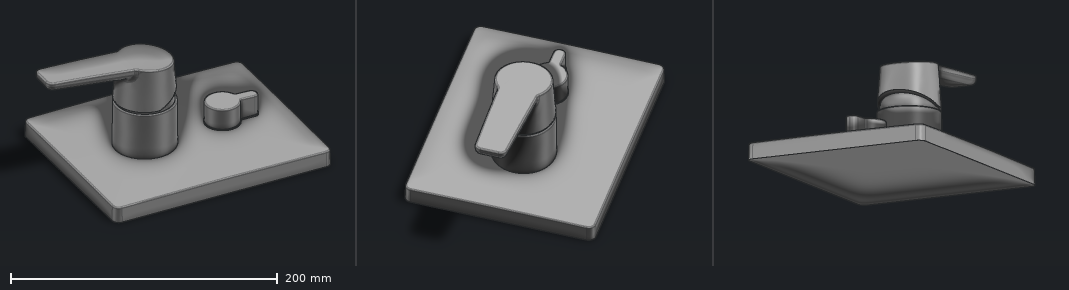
import cadquery as cq


PLATE_WIDTH = 149.9
PLATE_REAR_Y = 120.3
PLATE_FRONT_Y = -64.5
PLATE_TOP_Z = 14.2
PLATE_CROWN_RADIUS = 5204.2
PLATE_CORNER_RADIUS = 5.8
PLATE_DRAFT_ANGLE = 2.0
PLATE_EDGE_FILLET = 1.0

SLEEVE_BASE_RADIUS = 25.0
SLEEVE_TOP_RADIUS = 24.4
SLEEVE_TOP_Z = 51.8
SLEEVE_EDGE_FILLET = 0.8

BALL_RADIUS = 22.7
BALL_CENTER_Z = 51.5

HEAD_BASE_RADIUS = 24.4
HEAD_BASE_Z = 54.3
HEAD_TOP_RADIUS = 21.9
HEAD_TOP_Z = 87.5
HEAD_REAR_LIP_Y = 23.7
HEAD_REAR_LIP_Z = 64.7

OVERALL_LENGTH = 208.2
OVERALL_HEIGHT = 95.3
LEVER_TIP_Y = PLATE_REAR_Y - OVERALL_LENGTH
LEVER_ROOT_HALF_WIDTH = 15.8
LEVER_TIP_HALF_WIDTH = 12.3
LEVER_ROOT_Y = -10.5
LEVER_TIP_CORNER_RADIUS = 5.5
LEVER_ROOT_UNDERSIDE_Z = 80.8
LEVER_TIP_UNDERSIDE_Z = 88.0
LEVER_UNDERSIDE_FILLET = 4.4
LEVER_ROOT_FILLET = 4.5
TOP_REAR_Z = 85.5
TOP_MIDDLE_Y = -22.7
TOP_MIDDLE_Z = 90.5
TOP_EDGE_FILLET = 1.2

KNOB_CENTER_Y = 65.8
KNOB_RADIUS = 13.7
KNOB_TOP_Z = 32.0
KNOB_CROWN_RADIUS = 530.8
KNOB_TAB_WIDTH = 9.4
KNOB_TAB_END_Y = 95.1
KNOB_TAB_END_RADIUS = 4.4
KNOB_TAB_ROOT_FILLET = 1.7
KNOB_EDGE_FILLET = 1.0
KNOB_FOOT_RIM = 0.5
KNOB_FOOT_TOP_Z = 15.0


def make_plate():
    length = PLATE_REAR_Y - PLATE_FRONT_Y
    middle_y = (PLATE_REAR_Y + PLATE_FRONT_Y) / 2
    block = (
        cq.Workplane("XY")
        .center(0, middle_y)
        .sketch()
        .rect(PLATE_WIDTH, length)
        .vertices()
        .fillet(PLATE_CORNER_RADIUS)
        .finalize()
        .extrude(PLATE_TOP_Z, taper=PLATE_DRAFT_ANGLE)
    )
    crown = cq.Workplane("XY").sphere(PLATE_CROWN_RADIUS, direct=(1, 0, 0))
    crown = crown.translate((0, middle_y, PLATE_TOP_Z - PLATE_CROWN_RADIUS))
    top_face = cq.selectors.NearestToPointSelector((0, middle_y, PLATE_TOP_Z))
    return block.intersect(crown).faces(top_face).edges().fillet(PLATE_EDGE_FILLET)


def make_sleeve():
    return (
        cq.Workplane("XZ")
        .polyline(
            [
                (0, 0),
                (SLEEVE_BASE_RADIUS, 0),
                (SLEEVE_TOP_RADIUS, SLEEVE_TOP_Z),
                (0, SLEEVE_TOP_Z),
            ]
        )
        .close()
        .revolve(360, (0, 0), (0, 1))
        .faces(">Z")
        .edges()
        .fillet(SLEEVE_EDGE_FILLET)
    )


def make_ball():
    return cq.Workplane("XY").sphere(BALL_RADIUS).translate((0, 0, BALL_CENTER_Z))


def make_head_cone():
    slope = (HEAD_TOP_RADIUS - HEAD_BASE_RADIUS) / (HEAD_TOP_Z - HEAD_BASE_Z)
    blank_top_radius = HEAD_BASE_RADIUS + slope * (OVERALL_HEIGHT - HEAD_BASE_Z)
    cone = (
        cq.Workplane("XZ")
        .polyline(
            [
                (0, HEAD_BASE_Z),
                (HEAD_BASE_RADIUS, HEAD_BASE_Z),
                (blank_top_radius, OVERALL_HEIGHT),
                (0, OVERALL_HEIGHT),
            ]
        )
        .close()
        .revolve(360, (0, 0), (0, 1))
    )
    rise = (HEAD_REAR_LIP_Z - HEAD_BASE_Z) / HEAD_REAR_LIP_Y
    wedge_end_y = 2 * HEAD_BASE_RADIUS
    wedge = (
        cq.Workplane("YZ")
        .polyline(
            [
                (0, HEAD_BASE_Z),
                (wedge_end_y, HEAD_BASE_Z + rise * wedge_end_y),
                (wedge_end_y, HEAD_BASE_Z),
            ]
        )
        .close()
        .extrude(wedge_end_y, both=True)
    )
    return cone.cut(wedge)


def make_lever():
    outline = (
        cq.Workplane("XY")
        .polyline(
            [
                (-LEVER_ROOT_HALF_WIDTH, LEVER_ROOT_Y),
                (-LEVER_TIP_HALF_WIDTH, LEVER_TIP_Y),
                (LEVER_TIP_HALF_WIDTH, LEVER_TIP_Y),
                (LEVER_ROOT_HALF_WIDTH, LEVER_ROOT_Y),
            ]
        )
        .close()
        .extrude(2 * OVERALL_HEIGHT)
        .edges("|Z and <Y")
        .fillet(LEVER_TIP_CORNER_RADIUS)
    )
    side_profile = (
        cq.Workplane("YZ")
        .polyline(
            [
                (LEVER_ROOT_Y, LEVER_ROOT_UNDERSIDE_Z),
                (LEVER_TIP_Y, LEVER_TIP_UNDERSIDE_Z),
                (LEVER_TIP_Y, 2 * OVERALL_HEIGHT),
                (LEVER_ROOT_Y, 2 * OVERALL_HEIGHT),
            ]
        )
        .close()
        .extrude(2 * LEVER_ROOT_HALF_WIDTH, both=True)
    )
    return outline.intersect(side_profile).faces("<Z").edges("not >Y").fillet(LEVER_UNDERSIDE_FILLET)


def make_handle():
    joined = make_head_cone().union(make_lever())
    root_zone = cq.selectors.BoxSelector(
        (-HEAD_BASE_RADIUS, -HEAD_BASE_RADIUS, HEAD_REAR_LIP_Z),
        (HEAD_BASE_RADIUS, LEVER_ROOT_Y, TOP_MIDDLE_Z),
    )
    joined = joined.edges(root_zone).fillet(LEVER_ROOT_FILLET)
    below_top = (
        cq.Workplane("YZ")
        .moveTo(LEVER_TIP_Y, 0)
        .lineTo(LEVER_TIP_Y, OVERALL_HEIGHT)
        .threePointArc((TOP_MIDDLE_Y, TOP_MIDDLE_Z), (HEAD_BASE_RADIUS, TOP_REAR_Z))
        .lineTo(HEAD_BASE_RADIUS, 0)
        .close()
        .extrude(2 * HEAD_BASE_RADIUS, both=True)
    )
    top_face = cq.selectors.NearestToPointSelector((0, TOP_MIDDLE_Y, TOP_MIDDLE_Z))
    return joined.intersect(below_top).faces(top_face).edges().fillet(TOP_EDGE_FILLET)


def knob_blank(offset, height):
    tab_length = KNOB_TAB_END_Y - KNOB_CENTER_Y + offset
    tab = (
        cq.Workplane("XY")
        .center(0, KNOB_CENTER_Y + tab_length / 2)
        .rect(KNOB_TAB_WIDTH + 2 * offset, tab_length)
        .extrude(height)
        .edges("|Z and >Y")
        .fillet(KNOB_TAB_END_RADIUS)
    )
    disc = cq.Workplane("XY").center(0, KNOB_CENTER_Y).circle(KNOB_RADIUS + offset).extrude(height)
    tab_root = cq.selectors.BoxSelector(
        (-KNOB_TAB_WIDTH, KNOB_CENTER_Y + KNOB_RADIUS / 2, 0),
        (KNOB_TAB_WIDTH, KNOB_CENTER_Y + KNOB_RADIUS, height),
    )
    return disc.union(tab).edges("|Z").edges(tab_root).fillet(KNOB_TAB_ROOT_FILLET)


def make_knob():
    crown = cq.Workplane("XY").sphere(KNOB_CROWN_RADIUS, direct=(1, 0, 0))
    crown = crown.translate((0, KNOB_CENTER_Y, KNOB_TOP_Z - KNOB_CROWN_RADIUS))
    knob = knob_blank(0, KNOB_TOP_Z).intersect(crown)
    top_face = cq.selectors.NearestToPointSelector((0, KNOB_CENTER_Y, KNOB_TOP_Z))
    knob = knob.faces(top_face).edges().fillet(KNOB_EDGE_FILLET)
    return knob.union(knob_blank(KNOB_FOOT_RIM, KNOB_FOOT_TOP_Z))


result = (
    make_plate()
    .union(make_sleeve())
    .union(make_ball())
    .union(make_handle())
    .union(make_knob())
)